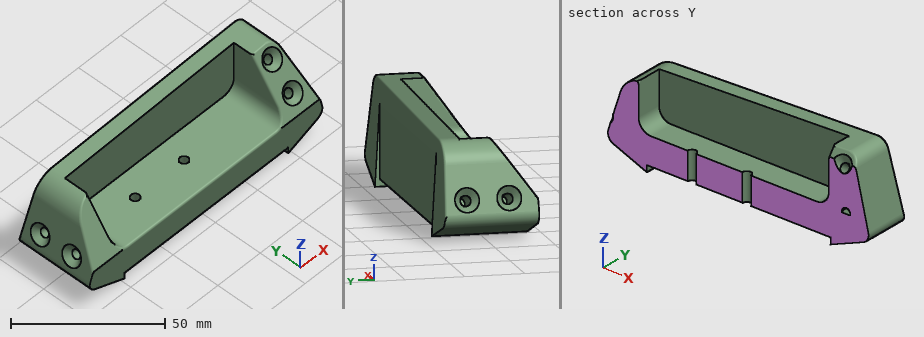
import cadquery as cq
import math

FOOT_LEFT, FOOT_RIGHT = 16.4, 93.7
FOOT_HEIGHT = 2.6
LEFT_CORNER = (-1.0, 6.9)
RIGHT_CORNER = (110.5, 6.8)
TOP_LEFT_CORNER = (7.4, 32.6)
TOP_RIGHT_CORNER = (103.6, 36.0)
LOWER_RADIUS = 3.7
TOP_LEFT_RADIUS = 10.0
TOP_RIGHT_RADIUS = 5.0

DEPTH = 32.0
BACK_DRAFT = 3.2
BACK_RECESS_Y = 30.5
SLOPE_START_Z = 14.2
SLOPE_ANGLE = 36.0
EDGE_RADIUS = 0.9
BACK_EDGE_RADIUS = 0.7

POCKET_LEFT, POCKET_RIGHT = 13.1, 93.0
POCKET_BACK_Y = 23.5
POCKET_FLOOR_Z = 14.1
POCKET_RADIUS = 5.1

HOLE_DIAMETER = 3.5
SINK_DIAMETER = 8.1
BLIND_DEPTH = 11.0
FLOOR_HOLE_Y = 13.3
FLOOR_HOLE_X = (35.4, 58.5)
SIDE_HOLE_Z = 14.7
SIDE_HOLE_Y = (9.7, 23.8)
SLOPE_HOLES_XZ = ((99.1, 31.1), (100.3, 20.1))

CLEAR = 55.0
TOUCH = 0.01

slope = math.radians(SLOPE_ANGLE)
draft = math.radians(BACK_DRAFT)


def round_corner(body, corner, radius):
    """Round the front-to-back edge nearest to a corner of the side profile."""
    x, z = corner
    corner_edge = cq.selectors.NearestToPointSelector((x, DEPTH / 2, z))
    return body.edges("|Y").edges(corner_edge).fillet(radius)


def make_blank():
    """Full outline with rounded upper corners, extruded from the front face to the back."""
    outline = [
        (FOOT_LEFT, 0),
        LEFT_CORNER,
        TOP_LEFT_CORNER,
        TOP_RIGHT_CORNER,
        RIGHT_CORNER,
        (FOOT_RIGHT, 0),
    ]
    blank = cq.Workplane("XZ").polyline(outline).close().extrude(-DEPTH)
    blank = round_corner(blank, TOP_LEFT_CORNER, TOP_LEFT_RADIUS)
    return round_corner(blank, TOP_RIGHT_CORNER, TOP_RIGHT_RADIUS)


def slanted_cutter(points_yz):
    """Prism across the whole length, drawn in the YZ plane."""
    length = RIGHT_CORNER[0] + 2 * CLEAR
    return cq.Workplane("YZ").workplane(offset=-CLEAR).polyline(points_yz).close().extrude(length)


def face_outline(body, normal, lowest_z):
    """Edges of the planar face with this outward normal, lying above a height."""
    edges = body.faces(cq.selectors.DirectionMinMaxSelector(normal, True)).edges()
    return edges.filter(lambda edge: edge.Center().z > lowest_z)


def countersunk_hole(mouth, inward):
    """Blind hole with a 90 degree countersink, starting at the mouth point."""
    sink_depth = (SINK_DIAMETER - HOLE_DIAMETER) / 2
    start = cq.Vector(*mouth)
    axis = cq.Vector(*inward)
    cone = cq.Solid.makeCone(SINK_DIAMETER / 2, HOLE_DIAMETER / 2, sink_depth, start, axis)
    bore = cq.Solid.makeCylinder(HOLE_DIAMETER / 2, BLIND_DEPTH, start, axis)
    return cq.Workplane(cone).union(cq.Workplane(bore))


def on_pocket_mouth(edge):
    """True for edges where the pocket meets the slope or the front face."""
    middle = edge.positionAt(0.5)
    slope_y = max(0, (middle.z - SLOPE_START_Z) * math.tan(slope))
    inside = POCKET_LEFT - TOUCH < middle.x < POCKET_RIGHT + TOUCH
    return inside and abs(middle.y - slope_y) < TOUCH and middle.z > POCKET_FLOOR_Z - TOUCH


slope_normal = cq.Vector(0, -math.cos(slope), math.sin(slope))
back_normal = cq.Vector(0, math.cos(draft), math.sin(draft))

body = make_blank()
body = body.cut(slanted_cutter([
    (DEPTH, 0),
    (DEPTH - CLEAR * math.tan(draft), CLEAR),
    (DEPTH + CLEAR, CLEAR),
    (DEPTH + CLEAR, 0),
]))
body = body.cut(slanted_cutter([
    (0, SLOPE_START_Z),
    (CLEAR * math.tan(slope), SLOPE_START_Z + CLEAR),
    (-CLEAR, SLOPE_START_Z + CLEAR),
    (-CLEAR, SLOPE_START_Z),
]))

pocket = (
    cq.Workplane("XY", origin=(POCKET_LEFT, -CLEAR, POCKET_FLOOR_Z))
    .box(POCKET_RIGHT - POCKET_LEFT, CLEAR + POCKET_BACK_Y, CLEAR, centered=False)
    .edges("|Y and <Z").fillet(POCKET_RADIUS)
)
body = body.cut(pocket)

slope_outline = face_outline(body, slope_normal, SLOPE_START_Z + EDGE_RADIUS)
mouth_edges = body.edges().filter(on_pocket_mouth)
body = slope_outline.add(mouth_edges).fillet(EDGE_RADIUS)

body = face_outline(body, back_normal, LEFT_CORNER[1]).fillet(BACK_EDGE_RADIUS)

rounded_blank = round_corner(make_blank(), LEFT_CORNER, LOWER_RADIUS)
rounded_blank = round_corner(rounded_blank, RIGHT_CORNER, LOWER_RADIUS)
body = body.intersect(rounded_blank)

gap_length = FOOT_RIGHT - FOOT_LEFT
under_gap = cq.Workplane("XY").box(gap_length, DEPTH, FOOT_HEIGHT, centered=False)
back_gap = cq.Workplane("XY").box(gap_length, DEPTH, CLEAR, centered=False).translate((0, BACK_RECESS_Y, 0))
body = body.cut(under_gap.union(back_gap).translate((FOOT_LEFT, 0, 0)))

for x in FLOOR_HOLE_X:
    floor_hole = cq.Workplane("XY").center(x, FLOOR_HOLE_Y).circle(HOLE_DIAMETER / 2)
    body = body.cut(floor_hole.extrude(POCKET_FLOOR_Z))

side_run = TOP_LEFT_CORNER[0] - LEFT_CORNER[0]
side_rise = TOP_LEFT_CORNER[1] - LEFT_CORNER[1]
side_hole_x = LEFT_CORNER[0] + (SIDE_HOLE_Z - LEFT_CORNER[1]) * side_run / side_rise
for y in SIDE_HOLE_Y:
    body = body.cut(countersunk_hole((side_hole_x, y, SIDE_HOLE_Z), (side_rise, 0, -side_run)))

for x, z in SLOPE_HOLES_XZ:
    mouth_y = (z - SLOPE_START_Z) * math.tan(slope)
    body = body.cut(countersunk_hole((x, mouth_y, z), (-slope_normal).toTuple()))

result = body